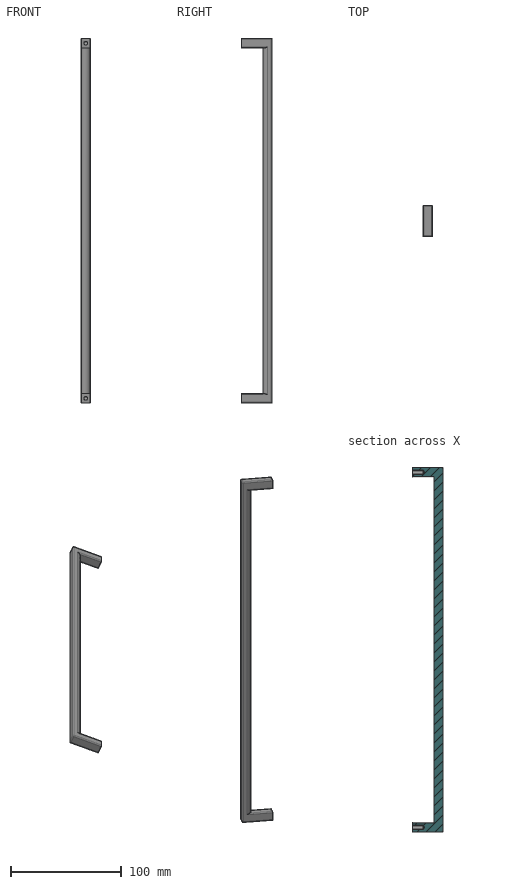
import cadquery as cq
import math

length = 328.5
depth = 28.0
width = 8.5
edge_break = 1.02
hole_diameter = 3.3
hole_depth = 10.0
drill_point_angle = 118

half_width = width / 2
back_y = depth / 2
front_y = -depth / 2
round_start_y = back_y - half_width
leg_center_z = (length - width) / 2


def make_grip():
    """D-shaped bar: flat back half, semicircular front half."""
    return (
        cq.Workplane("XY", origin=(0, 0, -length / 2))
        .moveTo(-half_width, round_start_y)
        .lineTo(-half_width, back_y)
        .lineTo(half_width, back_y)
        .lineTo(half_width, round_start_y)
        .threePointArc((0, round_start_y - half_width), (-half_width, round_start_y))
        .close()
        .extrude(length)
    )


def make_leg(center_z):
    """Square leg with its inner long edges rounded."""
    leg = cq.Workplane("XY").box(width, depth, width)
    inner_side = "<Z" if center_z > 0 else ">Z"
    return leg.faces(inner_side).edges("|Y").fillet(edge_break).translate((0, 0, center_z))


def make_screw_hole(center_z):
    """Blind hole with a conical drill point, entering the leg's front end."""
    radius = hole_diameter / 2
    point_length = radius / math.tan(math.radians(drill_point_angle / 2))
    return (
        cq.Workplane("XY")
        .polyline([
            (0, front_y),
            (radius, front_y),
            (radius, front_y + hole_depth),
            (0, front_y + hole_depth + point_length),
        ])
        .close()
        .revolve(360, (0, 0), (0, 1))
        .translate((0, 0, center_z))
    )


result = make_grip()
for leg_z in (-leg_center_z, leg_center_z):
    result = result.union(make_leg(leg_z))

result = result.faces(">Y").edges("|Z").fillet(edge_break)
result = result.faces(">Z or <Z").edges("|Y").fillet(edge_break)

for leg_z in (-leg_center_z, leg_center_z):
    result = result.cut(make_screw_hole(leg_z))